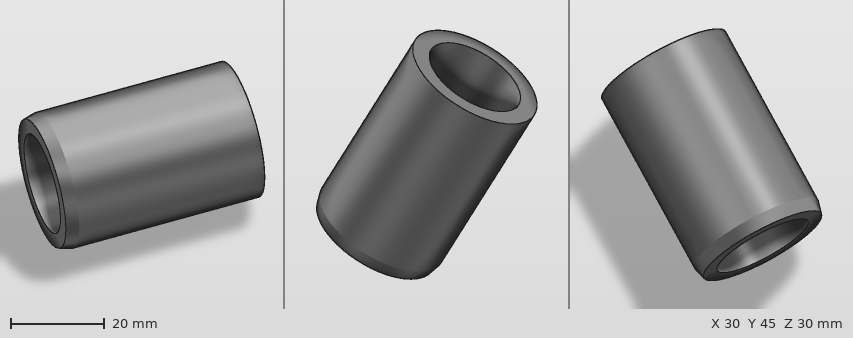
import cadquery as cq
import math

length = 45.0
outer_diameter = 30.0
bore_diameter = 22.0
lead_in_length = 2.8
lead_in_angle = 15.0

outer_radius = outer_diameter / 2
bore_radius = bore_diameter / 2
lead_in_radius = outer_radius - lead_in_length * math.tan(math.radians(lead_in_angle))

wall_section = (
    cq.Workplane("XY")
    .moveTo(bore_radius, 0)
    .lineTo(lead_in_radius, 0)
    .lineTo(outer_radius, lead_in_length)
    .lineTo(outer_radius, length)
    .lineTo(bore_radius, length)
    .close()
)

result = wall_section.revolve(360, (0, 0, 0), (0, 1, 0))